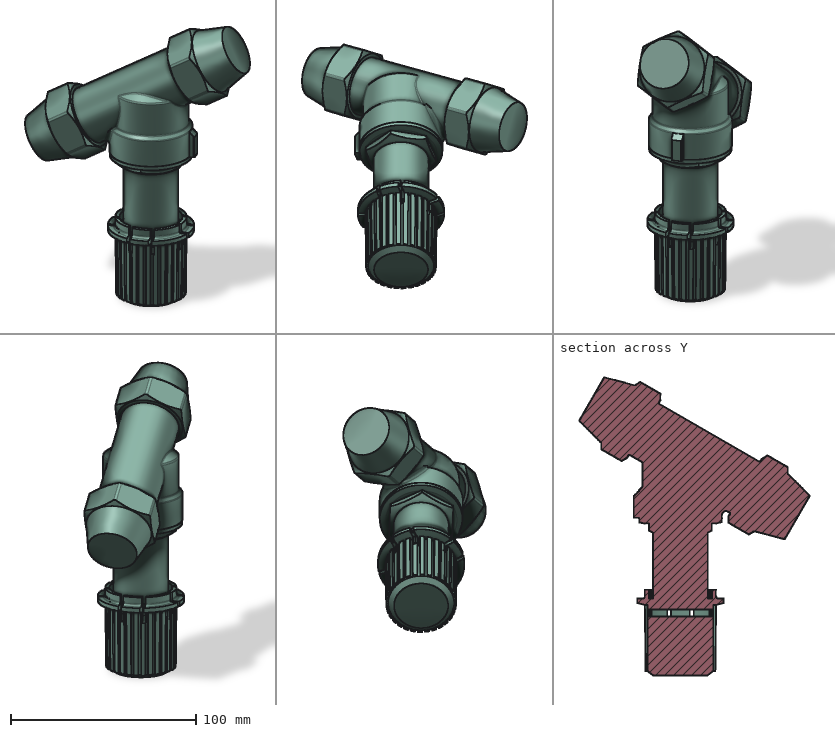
import cadquery as cq
import math


PIPE_TILT = 30.0
PIPE_RADIUS = 16.0
RUN_LENGTH = 128.0
UPPER_TIP = 55.25

NUT_FLATS = 36.8
NUT_LENGTH = 16.2
NUT_EDGE_RADIUS = 1.6
NUT_FACE_RADIUS = 18.0
TIP_RADIUS = 13.58
TIP_LENGTH = 16.3
HEX_CHAMFER_ANGLE = 30.0
HEX_HALF_STEP = 30.0

NECK_RADIUS = 20.5
NECK_TOP = -0.8
NECK_ROUND = 1.2
NECK_CONE_ANGLE = 36.0
NECK_CONE_INNER_RADIUS = 12.0
COLLAR_RADIUS = 22.5
COLLAR_TOP = -21.7
COLLAR_RING_RADIUS = 22.35
COLLAR_RING_TOP = -36.8
COLLAR_BOTTOM = -39.7
COLLAR_BOTTOM_RADIUS = 19.2
COLLAR_EDGE_DROP = 0.7
SHOULDER_ROUND = 0.8
NECK_BLEND = 1.0
COLLAR_BLEND = 2.0

TAB_REACH = 25.3
TAB_WIDTH = 6.0
TAB_BOTTOM = -36.6
TAB_EDGE_CHAMFER = 0.55
TAB_TOP = -24.9

BONNET_FLATS = 34.0
BONNET_BOTTOM = -44.65
TUBE_RADIUS = 14.85
TUBE_BOTTOM = -86.0

KNOB_TOP = -75.2
KNOB_BOTTOM = -121.62
KNOB_RADIUS = 19.3
KNOB_LOWER_RADIUS = 18.9
KNOB_CORE_RADIUS = 17.8
KNOB_END_RADIUS = 14.6
KNOB_END_TAPER_HEIGHT = 2.4
FLANGE_RADIUS = 23.34
FLANGE_TOP = -80.0
FLANGE_EDGE_HEIGHT = 2.65
FLANGE_UNDERSIDE_DROP = 0.95
FLANGE_ROOT_FILLET = 1.2
BORE_RADIUS = 17.0
BORE_BOTTOM = -89.7
RIB_COUNT = 30
GROOVE_WIDTH = 1.5
SLOT_OFFSET = 6.1
SLOT_WIDTH = 1.95


def revolve_profile(points):
    """Solid of revolution about Z from (radius, height) points."""
    return cq.Workplane("XZ").polyline(points).close().revolve(360, (0, 0, 0), (0, 1, 0))


def along_pipe(shape):
    """Turn a shape built along +Z so that it lies along the pipe axis."""
    return shape.rotate((0, 0, 0), (0, 1, 0), 90 - PIPE_TILT)


def cylinder(radius, bottom, height):
    """Upright cylinder on the Z axis."""
    return cq.Workplane("XY").workplane(offset=bottom).circle(radius).extrude(height)


def hexagon_corner_radius(flats):
    """Distance from centre to corner of a hexagon of the given width across flats."""
    return flats / 2 / math.cos(math.radians(HEX_HALF_STEP))


def hexagon(flats, bottom, height):
    """Hexagonal prism along Z with two flats facing +Y and -Y."""
    corner_diameter = 2 * hexagon_corner_radius(flats)
    return cq.Workplane("XY").workplane(offset=bottom).polygon(6, corner_diameter).extrude(height)


def make_end():
    """Union nut and tapered tip along +Z, with the nut's inner face at height 0."""
    corner_radius = hexagon_corner_radius(NUT_FLATS)
    chamfer_drop = (corner_radius - NUT_FACE_RADIUS) * math.tan(math.radians(HEX_CHAMFER_ANGLE))
    envelope = revolve_profile([
        (0, 0),
        (NUT_FACE_RADIUS, 0),
        (corner_radius, chamfer_drop),
        (corner_radius, NUT_LENGTH - chamfer_drop),
        (NUT_FACE_RADIUS, NUT_LENGTH),
        (0, NUT_LENGTH),
    ])
    nut = hexagon(NUT_FLATS, 0, NUT_LENGTH).edges("|Z").fillet(NUT_EDGE_RADIUS).intersect(envelope)
    tip = revolve_profile([
        (0, 0),
        (NUT_FACE_RADIUS, NUT_LENGTH),
        (TIP_RADIUS, NUT_LENGTH + TIP_LENGTH),
        (0, NUT_LENGTH + TIP_LENGTH),
    ])
    return nut.union(tip)


def make_collar():
    """Collar with a 45 degree shoulder above and a slightly smaller ring below."""
    shoulder_top = COLLAR_TOP + COLLAR_RADIUS - NECK_RADIUS
    return revolve_profile([
        (0, shoulder_top),
        (NECK_RADIUS, shoulder_top),
        (COLLAR_RADIUS, COLLAR_TOP),
        (COLLAR_RADIUS, COLLAR_RING_TOP),
        (COLLAR_RING_RADIUS, COLLAR_RING_TOP),
        (COLLAR_RING_RADIUS, COLLAR_BOTTOM + COLLAR_EDGE_DROP),
        (COLLAR_BOTTOM_RADIUS, COLLAR_BOTTOM),
        (0, COLLAR_BOTTOM),
    ])


def make_body():
    """Pipe barrel blended into the neck and collar of the valve body."""
    end_length = NUT_LENGTH + TIP_LENGTH
    barrel_bottom = UPPER_TIP - RUN_LENGTH + end_length
    barrel_length = RUN_LENGTH - 2 * end_length
    barrel = along_pipe(cylinder(PIPE_RADIUS, barrel_bottom, barrel_length))
    cone_rise = (NECK_RADIUS - NECK_CONE_INNER_RADIUS) * math.tan(math.radians(NECK_CONE_ANGLE))
    neck = revolve_profile([
        (0, NECK_TOP + cone_rise),
        (NECK_CONE_INNER_RADIUS, NECK_TOP + cone_rise),
        (NECK_RADIUS, NECK_TOP),
        (NECK_RADIUS, COLLAR_RING_TOP),
        (0, COLLAR_RING_TOP),
    ])
    neck = neck.edges(cq.selectors.RadiusNthSelector(-1)).edges(">Z").fillet(NECK_ROUND)
    body = barrel.union(neck)
    body = body.edges("%BSPLINE").fillet(NECK_BLEND)
    body = body.union(make_collar())

    collar_meeting = cq.selectors.BoxSelector(
        (-COLLAR_RADIUS, -PIPE_RADIUS, -2 * PIPE_RADIUS),
        (0, PIPE_RADIUS, COLLAR_TOP - SHOULDER_ROUND),
    )
    body = body.edges("%BSPLINE").edges(collar_meeting).fillet(COLLAR_BLEND)

    shoulder_rims = cq.selectors.BoxSelector(
        (-COLLAR_RADIUS, -COLLAR_RADIUS, COLLAR_TOP - SHOULDER_ROUND),
        (COLLAR_RADIUS, COLLAR_RADIUS, COLLAR_TOP + COLLAR_RADIUS - NECK_RADIUS + SHOULDER_ROUND),
    )
    return body.edges("%CIRCLE").edges(shoulder_rims).fillet(SHOULDER_ROUND)


def make_tab():
    """Small tab on the +X side of the collar with a 45 degree top."""
    outline = [
        (0, TAB_BOTTOM),
        (TAB_REACH, TAB_BOTTOM),
        (TAB_REACH, TAB_TOP),
        (NECK_RADIUS, TAB_TOP + TAB_REACH - NECK_RADIUS),
        (0, TAB_TOP + TAB_REACH - NECK_RADIUS),
    ]
    tab = cq.Workplane("XZ").polyline(outline).close().extrude(TAB_WIDTH / 2, both=True)
    return tab.faces(">X").edges("|Z").chamfer(TAB_EDGE_CHAMFER)


def make_bonnet():
    """Hexagon below the collar, chamfered at its lower end, and the tube down into the knob."""
    corner_radius = hexagon_corner_radius(BONNET_FLATS)
    chamfer_rise = (corner_radius - TUBE_RADIUS) * math.tan(math.radians(HEX_CHAMFER_ANGLE))
    height = COLLAR_BOTTOM - BONNET_BOTTOM
    envelope = revolve_profile([
        (0, COLLAR_BOTTOM),
        (corner_radius, COLLAR_BOTTOM),
        (corner_radius, BONNET_BOTTOM + chamfer_rise),
        (TUBE_RADIUS, BONNET_BOTTOM),
        (0, BONNET_BOTTOM),
    ])
    prism = hexagon(BONNET_FLATS, BONNET_BOTTOM, height).rotate((0, 0, 0), (0, 0, 1), HEX_HALF_STEP)
    tube = revolve_profile([
        (0, COLLAR_BOTTOM),
        (TUBE_RADIUS, COLLAR_BOTTOM),
        (TUBE_RADIUS, FLANGE_TOP),
        (BORE_RADIUS, FLANGE_TOP),
        (BORE_RADIUS, TUBE_BOTTOM),
        (0, TUBE_BOTTOM),
    ])
    return prism.intersect(envelope).union(tube)


def make_knob():
    """Hollow-topped knob with a slotted flange and collar and a ribbed grip."""
    flange_bottom = FLANGE_TOP - FLANGE_EDGE_HEIGHT
    grip_top = flange_bottom - FLANGE_UNDERSIDE_DROP
    grip_bottom = KNOB_BOTTOM + KNOB_END_TAPER_HEIGHT
    fillet_middle = FLANGE_ROOT_FILLET * (1 - math.sqrt(0.5))
    knob = (
        cq.Workplane("XZ")
        .moveTo(0, KNOB_TOP)
        .lineTo(KNOB_RADIUS, KNOB_TOP)
        .lineTo(KNOB_RADIUS, FLANGE_TOP + FLANGE_ROOT_FILLET)
        .threePointArc(
            (KNOB_RADIUS + fillet_middle, FLANGE_TOP + fillet_middle),
            (KNOB_RADIUS + FLANGE_ROOT_FILLET, FLANGE_TOP),
        )
        .lineTo(FLANGE_RADIUS, FLANGE_TOP)
        .lineTo(FLANGE_RADIUS, flange_bottom)
        .lineTo(KNOB_RADIUS, grip_top)
        .lineTo(KNOB_LOWER_RADIUS, grip_bottom)
        .lineTo(KNOB_CORE_RADIUS, grip_bottom)
        .lineTo(KNOB_END_RADIUS, KNOB_BOTTOM)
        .lineTo(0, KNOB_BOTTOM)
        .close()
        .revolve(360, (0, 0, 0), (0, 1, 0))
    )
    bore_depth = KNOB_TOP - BORE_BOTTOM
    knob = knob.cut(cylinder(BORE_RADIUS, BORE_BOTTOM, bore_depth))

    grip_height = grip_top - grip_bottom
    core = cylinder(KNOB_CORE_RADIUS, grip_bottom, grip_height)
    pitch = 360 / RIB_COUNT
    first_groove = -90 + pitch / 2
    grooves = cq.Workplane("XY")
    for i in range(RIB_COUNT):
        cutter = (
            cq.Workplane("XY")
            .workplane(offset=grip_bottom)
            .center(KNOB_RADIUS, 0)
            .rect(2 * (KNOB_RADIUS - BORE_RADIUS), GROOVE_WIDTH)
            .extrude(grip_height)
            .rotate((0, 0, 0), (0, 0, 1), first_groove + i * pitch)
        )
        grooves = grooves.add(cutter)
    grooves = grooves.combine().cut(core)
    knob = knob.cut(grooves)

    slot_length = 2 * FLANGE_RADIUS + SLOT_WIDTH
    for offset in (-SLOT_OFFSET, SLOT_OFFSET):
        slot = (
            cq.Workplane("XY")
            .workplane(offset=BORE_BOTTOM)
            .center(offset, 0)
            .rect(SLOT_WIDTH, slot_length)
            .extrude(bore_depth)
        )
        knob = knob.cut(slot).cut(slot.rotate((0, 0, 0), (0, 0, 1), 90))
    return knob


nut_offset = NUT_LENGTH + TIP_LENGTH
end = make_end()
upper_end = along_pipe(end.translate((0, 0, UPPER_TIP - nut_offset)))
lower_end = along_pipe(
    end.rotate((0, 0, 0), (1, 0, 0), 180).translate((0, 0, UPPER_TIP - RUN_LENGTH + nut_offset))
)

result = (
    make_body()
    .union(make_tab())
    .union(upper_end)
    .union(lower_end)
    .union(make_bonnet())
    .union(make_knob())
)